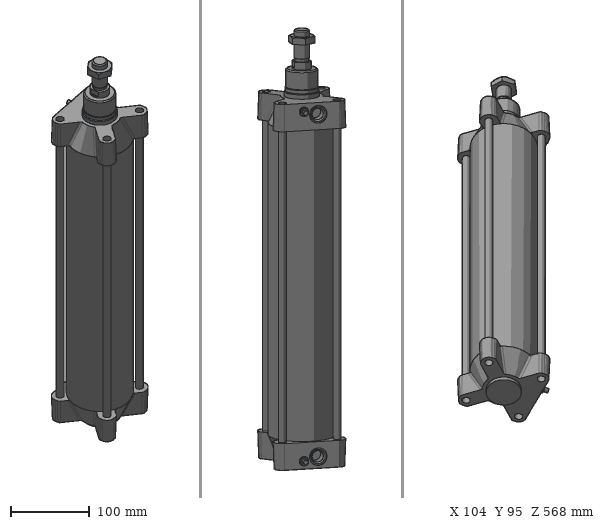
import cadquery as cq
import math

TOTAL_LENGTH = 568.0
FOOT_HEIGHT = 5.0
HEAD_HEIGHT = 35.0
BOSS_TOP = 517.5
UPPER_HEAD_TOP = 481.5
LOWER_JOINT = FOOT_HEIGHT + HEAD_HEIGHT
UPPER_JOINT = UPPER_HEAD_TOP - HEAD_HEIGHT

HEAD_WIDTH = 95.0
HEAD_HALF = HEAD_WIDTH / 2
TIE_SPACING = 72.5
TIE_OFFSET = TIE_SPACING / 2
LOBE_RADIUS = HEAD_HALF - TIE_OFFSET
ARM_HALF = 12.0
DIAGONAL = 45.0
DRAFT = 2.0
HUB_RADIUS = 27.0
POCKET_FILLET = 3.5
LOBE_CORNER_RADIUS = 5.5

TUBE_DIAMETER = 86.0
TIE_DIAMETER = 10.0
TIE_SOCKET_DIAMETER = 10.0
TIE_SOCKET_DEPTH = 17.0

SPIGOT_DIAMETER = 45.0
BOSS_DIAMETER = 41.0
COLLAR_DIAMETER = 42.5
BOSS_CHAMFER = 1.5
SPIGOT_TOP = 488.5
COLLAR_TOP = 493.5

PORT_Y = -8.5
PORT_INSET = 15.5
PORT_FACE_DIAMETER = 23.0
PORT_FACE_DEPTH = 1.0
PORT_THREAD_DIAMETER = 19.0
PORT_BORE_DIAMETER = 15.0
PORT_DEPTH = 14.0
FITTING_Y = 11.0
FITTING_INSET = 11.0
WIDTH_OVER_FITTING = 104.0
FITTING_TIP_X = HEAD_HALF - WIDTH_OVER_FITTING
FITTING_BASE_DIAMETER = 12.0
FITTING_SHOULDER_DIAMETER = 10.0
FITTING_TIP_DIAMETER = 6.0
FITTING_BASE_X = -47.5
FITTING_SHOULDER_X = -50.0

ROD_DIAMETER = 25.0
ROD_TOP = 527.0
ROD_SEAT = UPPER_JOINT
FLAT_WIDTH = 22.0
FLAT_BOTTOM = 520.0
NECK_DIAMETER = 18.0
THREAD_BOTTOM = 531.0
THREAD_DIAMETER = 20.0
THREAD_CHAMFER = 1.5
NUT_BOTTOM = 551.0
NUT_HEIGHT = 9.0
NUT_ACROSS_FLATS = 30.0
NUT_CHAMFER_ANGLE = 30.0


def axial_cylinder(diameter, bottom, top):
    """Cylinder on the main axis between two heights."""
    return cq.Workplane("XY", origin=(0, 0, bottom)).circle(diameter / 2).extrude(top - bottom)


def turned_along_x(profile):
    """Solid of revolution about the X axis from (x, radius) points."""
    return cq.Workplane("XY").polyline(profile).close().revolve(360, (0, 0, 0), (1, 0, 0))


def diagonal_arm(angle):
    """Drafted arm from the axis to one corner lobe, pointing at angle degrees from +X."""
    flat_start = HEAD_HALF - ARM_HALF * math.sqrt(2)
    arc_mid = TIE_OFFSET + LOBE_RADIUS * math.sqrt(0.5)
    root = ARM_HALF * math.sqrt(0.5)
    trim = LOBE_CORNER_RADIUS * math.tan(math.radians(DIAGONAL / 2))
    flat_end = flat_start + trim
    flank_outer = HEAD_HALF - trim * math.sqrt(0.5)
    flank_inner = flat_start - trim * math.sqrt(0.5)
    outline = (
        cq.Workplane("XY")
        .moveTo(root, -root)
        .lineTo(flank_outer, flank_inner)
        .tangentArcPoint((HEAD_HALF, flat_end), relative=False)
        .lineTo(HEAD_HALF, TIE_OFFSET)
        .threePointArc((arc_mid, arc_mid), (TIE_OFFSET, HEAD_HALF))
        .lineTo(flat_end, HEAD_HALF)
        .tangentArcPoint((flank_inner, flank_outer), relative=False)
        .lineTo(-root, root)
        .close()
    )
    return outline.extrude(HEAD_HEIGHT, taper=DRAFT).rotate((0, 0, 0), (0, 0, 1), angle - DIAGONAL)


def port_plate():
    """Solid side of the head that closes the gap between the two -X arms."""
    outline = [
        (-HEAD_HALF, TIE_OFFSET),
        (-TIE_OFFSET, TIE_OFFSET),
        (0, 0),
        (-TIE_OFFSET, -TIE_OFFSET),
        (-HEAD_HALF, -TIE_OFFSET),
    ]
    return cq.Workplane("XY").polyline(outline).close().extrude(HEAD_HEIGHT, taper=DRAFT)


def cone_core():
    """Conical core of the head, turned so that its seam lies inside the port plate."""
    core = cq.Workplane(cq.Solid.makeCone(TUBE_DIAMETER / 2, HUB_RADIUS, HEAD_HEIGHT))
    return core.rotate((0, 0, 0), (0, 0, 1), 180)


def pocket_edges(body):
    """Edges where the arm flanks meet the cone: they follow its slope from face to face."""
    least_rise = HEAD_HEIGHT / 2
    least_spread = (TUBE_DIAMETER / 2 - HUB_RADIUS) / 2
    found = []
    for edge in body.edges().vals():
        start = edge.startPoint()
        end = edge.endPoint()
        rise = abs(end.z - start.z)
        spread = abs(math.hypot(end.x, end.y) - math.hypot(start.x, start.y))
        if rise > least_rise and spread > least_spread:
            found.append(edge)
    return found


def port_cutter():
    """Round spot face, bevelled thread mouth and blind bore, cut in from the -X face."""
    z = HEAD_HEIGHT - PORT_INSET
    face_x = -HEAD_HALF + z * math.tan(math.radians(DRAFT))
    seat_x = face_x + PORT_FACE_DEPTH
    bevel = (PORT_THREAD_DIAMETER - PORT_BORE_DIAMETER) / 2
    profile = [
        (-HEAD_HALF, 0),
        (-HEAD_HALF, PORT_FACE_DIAMETER / 2),
        (seat_x, PORT_FACE_DIAMETER / 2),
        (seat_x, PORT_THREAD_DIAMETER / 2),
        (seat_x + bevel, PORT_BORE_DIAMETER / 2),
        (seat_x + PORT_DEPTH, PORT_BORE_DIAMETER / 2),
        (seat_x + PORT_DEPTH, 0),
    ]
    return turned_along_x(profile).translate((0, PORT_Y, z))


def vent_fitting():
    """Turned fitting on the port face: base, tapered shoulder and cylindrical tip."""
    profile = [
        (-TIE_OFFSET, 0),
        (-TIE_OFFSET, FITTING_BASE_DIAMETER / 2),
        (FITTING_BASE_X, FITTING_BASE_DIAMETER / 2),
        (FITTING_SHOULDER_X, FITTING_SHOULDER_DIAMETER / 2),
        (FITTING_SHOULDER_X, FITTING_TIP_DIAMETER / 2),
        (FITTING_TIP_X, FITTING_TIP_DIAMETER / 2),
        (FITTING_TIP_X, 0),
    ]
    return turned_along_x(profile).translate((0, FITTING_Y, HEAD_HEIGHT - FITTING_INSET))


def head():
    """Head with its joint face at Z = 0 and its outer face at Z = HEAD_HEIGHT."""
    body = cone_core().union(port_plate())
    for quarter in range(4):
        body = body.union(diagonal_arm(DIAGONAL + 90 * quarter))
    body = body.newObject(pocket_edges(body)).fillet(POCKET_FILLET)

    sockets = (
        cq.Workplane("XY", origin=(0, 0, HEAD_HEIGHT))
        .rect(TIE_SPACING, TIE_SPACING, forConstruction=True)
        .vertices()
        .circle(TIE_SOCKET_DIAMETER / 2)
        .extrude(-TIE_SOCKET_DEPTH)
    )
    body = body.cut(sockets)
    return body.cut(port_cutter()).union(vent_fitting())


def guide_boss():
    """Boss around the rod: spigot, collar and guide, each stepping in through a bevel."""
    spigot_bevel = (SPIGOT_DIAMETER - COLLAR_DIAMETER) / 2
    collar_bevel = (COLLAR_DIAMETER - BOSS_DIAMETER) / 2
    profile = [
        (0, UPPER_HEAD_TOP),
        (SPIGOT_DIAMETER / 2, UPPER_HEAD_TOP),
        (SPIGOT_DIAMETER / 2, SPIGOT_TOP - spigot_bevel),
        (COLLAR_DIAMETER / 2, SPIGOT_TOP),
        (COLLAR_DIAMETER / 2, COLLAR_TOP - collar_bevel),
        (BOSS_DIAMETER / 2, COLLAR_TOP),
        (BOSS_DIAMETER / 2, BOSS_TOP - BOSS_CHAMFER),
        (BOSS_DIAMETER / 2 - BOSS_CHAMFER, BOSS_TOP),
        (0, BOSS_TOP),
    ]
    return cq.Workplane("XZ").polyline(profile).close().revolve(360, (0, 0, 0), (0, 1, 0))


def build_housing():
    """Tube, tie rods, both heads, boss and foot as one body, bored for the piston rod."""
    housing = axial_cylinder(TUBE_DIAMETER, LOWER_JOINT, UPPER_JOINT)
    tie_rods = (
        cq.Workplane("XY", origin=(0, 0, LOWER_JOINT))
        .rect(TIE_SPACING, TIE_SPACING, forConstruction=True)
        .vertices()
        .circle(TIE_DIAMETER / 2)
        .extrude(UPPER_JOINT - LOWER_JOINT)
    )
    upper_head = head().translate((0, 0, UPPER_JOINT))
    lower_head = head().mirror("XY").translate((0, 0, LOWER_JOINT))
    foot = axial_cylinder(SPIGOT_DIAMETER, 0, FOOT_HEIGHT)
    for piece in (tie_rods, upper_head, lower_head, guide_boss(), foot):
        housing = housing.union(piece)
    return housing.cut(axial_cylinder(ROD_DIAMETER, ROD_SEAT, BOSS_TOP))


def thread_blank():
    """Threaded end of the rod as a plain cylinder with a chamfered tip."""
    return axial_cylinder(THREAD_DIAMETER, THREAD_BOTTOM, TOTAL_LENGTH).faces(">Z").chamfer(THREAD_CHAMFER)


def build_rod():
    """Piston rod with two wrench flats, an undercut neck and a threaded end."""
    rod = axial_cylinder(ROD_DIAMETER, ROD_SEAT, ROD_TOP)
    flat_height = ROD_TOP - FLAT_BOTTOM
    between_flats = cq.Workplane("XY", origin=(0, 0, FLAT_BOTTOM)).rect(ROD_DIAMETER, FLAT_WIDTH)
    lower_part = axial_cylinder(ROD_DIAMETER, ROD_SEAT, FLAT_BOTTOM)
    rod = rod.intersect(between_flats.extrude(flat_height).union(lower_part))
    return rod.union(axial_cylinder(NECK_DIAMETER, ROD_TOP, THREAD_BOTTOM)).union(thread_blank())


def build_nut():
    """Hexagon nut with corners on the X axis and chamfered corners on top."""
    corner_diameter = NUT_ACROSS_FLATS / math.cos(math.pi / 6)
    corner_excess = (corner_diameter - NUT_ACROSS_FLATS) / 2
    drop = corner_excess * math.tan(math.radians(NUT_CHAMFER_ANGLE))
    blank = cq.Workplane("XY").polygon(6, corner_diameter).extrude(NUT_HEIGHT)
    turned = cq.Workplane("XY").circle(corner_diameter / 2).extrude(NUT_HEIGHT)
    turned = turned.faces(">Z").chamfer(drop, corner_excess)
    nut = blank.intersect(turned).translate((0, 0, NUT_BOTTOM))
    return nut.cut(thread_blank())


housing = build_housing()
rod = build_rod()
nut = build_nut()

result = cq.Compound.makeCompound([housing.val(), rod.val(), nut.val()])